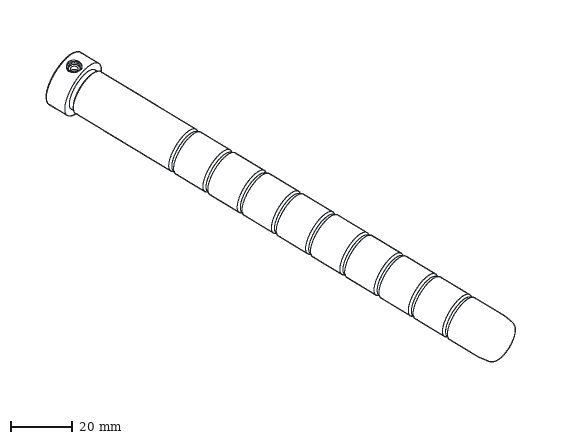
import cadquery as cq

length = 180.0
head_diameter = 20.0
head_length = 8.0
head_chamfer = 0.4
shaft_diameter = 16.0
head_radius = head_diameter / 2
shaft_radius = shaft_diameter / 2

groove_depth = 0.5
groove_floor_radius = shaft_radius - groove_depth

undercut_length = 2.0
undercut_cone_length = 0.4
undercut_end = head_length + undercut_length
neck_end = undercut_end - undercut_cone_length

groove_count = 9
first_groove_start = 49.0
last_groove_start = 161.0
groove_pitch = (last_groove_start - first_groove_start) / (groove_count - 1)
groove_cone_length = 0.9
groove_arc_length = 1.0
groove_arc_radius = (groove_arc_length**2 + groove_depth**2) / (2 * groove_depth)

lead_in_length = 5.0
lead_in_drop = 0.7
nose_radius = 1.8

centre_hole_radius = 1.53
centre_hole_chamfer = 0.9
centre_hole_depth = 5.4

radial_hole_x = 4.3
radial_hole_steps = [(5.0, 0.9), (4.0, 1.8), (2.5, 3.6), (1.3, 4.3)]


def make_body():
    """Revolve the half outline of head, shaft, grooves and tip about X."""
    profile = (
        cq.Workplane("XY")
        .lineTo(0, head_radius - head_chamfer)
        .lineTo(head_chamfer, head_radius)
        .lineTo(head_length, head_radius)
        .lineTo(head_length, groove_floor_radius)
        .lineTo(neck_end, groove_floor_radius)
        .lineTo(undercut_end, shaft_radius)
    )
    for index in range(groove_count):
        start = first_groove_start + index * groove_pitch
        floor_x = start + groove_cone_length
        profile = (
            profile.lineTo(start, shaft_radius)
            .lineTo(floor_x, groove_floor_radius)
            .radiusArc((floor_x + groove_arc_length, shaft_radius), -groove_arc_radius)
        )
    profile = (
        profile.lineTo(length - lead_in_length, shaft_radius)
        .lineTo(length, shaft_radius - lead_in_drop)
        .lineTo(length, 0)
        .close()
    )
    body = profile.revolve(360, (0, 0, 0), (1, 0, 0))
    return body.faces(">X").edges().fillet(nose_radius)


def make_centre_hole():
    """Blind hole along X with a 45 degree chamfer and a 90 degree drill point."""
    return (
        cq.Workplane("XY")
        .lineTo(0, centre_hole_radius + centre_hole_chamfer)
        .lineTo(centre_hole_chamfer, centre_hole_radius)
        .lineTo(centre_hole_depth, centre_hole_radius)
        .lineTo(centre_hole_depth + centre_hole_radius, 0)
        .close()
        .revolve(360, (0, 0, 0), (1, 0, 0))
    )


result = make_body().cut(make_centre_hole())
for step_diameter, step_depth in radial_hole_steps:
    step = cq.Workplane("XY", origin=(radial_hole_x, 0, head_radius)).circle(step_diameter / 2)
    result = result.cut(step.extrude(-step_depth))